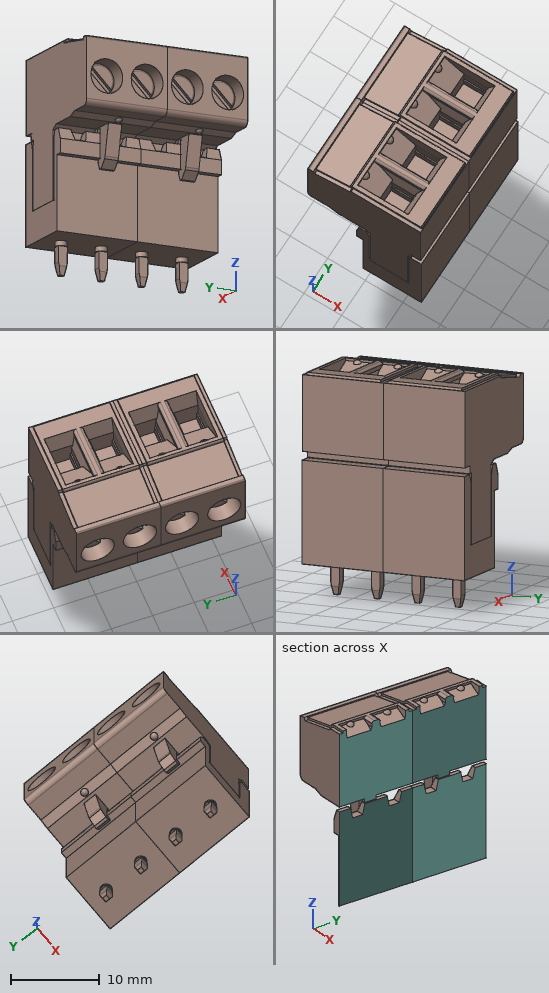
import cadquery as cq


total_length = 20.33
total_height = 26.0
module_count = 2
poles_per_module = 2
module_width = total_length / module_count
pole_pitch = module_width / poles_per_module

header_back_x = 15.13
header_front_x = 7.38
header_bottom_z = 3.95
header_top_z = 15.9
trough_floor_z = 7.75
trough_front_x = 8.15
trough_back_x = 13.47
trough_lead_in_z = 14.95
trough_lead_in = 0.25
ledge_front_x = 6.53
ledge_bottom_z = 12.85
ledge_bevel_z = 14.55
header_lip_front_x = 7.05

notch_top_width = 1.95
notch_bottom_width = 1.33
notch_depth = 1.3

collar_diameter = 1.4
collar_bottom_z = 3.35
pin_x = 11.35
pin_size_x = 1.0
pin_size_y = 1.1
pin_tip_size = 0.55
taper_start_x_faces = 1.01
taper_start_y_faces = 1.43

plug_back_x = 15.03
plug_shoulder_z = 25.71
plug_nose_top_z = 24.99
plug_underside_z = 16.9
nose_top_length = 0.75
ramp_start = (0.95, 24.65)
ramp_end = (5.62, 25.45)
plug_top_front_x = 5.77
nose_top_round = 0.18
nose_bottom_round = 0.7
underside_step_start_x = 2.95
underside_step_end_x = 4.08
underside_step_z = 16.48
stem_front_x = 8.35
stem_back_x = 13.29
stem_neck_back_x = 13.75
stem_neck_z = 16.0
stem_bevel_x = 7.55

panel_inset = 0.47
panel_ramp_start = (0.8, 24.88)
panel_ramp_end = (5.35, 25.65)
panel_round_middle = (5.4, 25.87)
panel_top_front_x = 5.6
panel_top_back_x = 14.8
panel_base_back_x = 14.9

rib_inset = 0.25

latch_width = 1.7
latch_offset_y = -0.78
latch_root_front_x = 4.47
latch_knee = (5.3, 12.8)
latch_jaw = (5.4, 12.5)
latch_tip_z = 11.57
latch_tip_front_x = 6.3
latch_tip_back_x = 6.65
hook_point = (7.1, 12.5)
hook_top_x = 6.86
latch_root_round = 0.25
web_top_front_x = 7.02
web_bottom_front_x = 7.3
latch_stud_diameter = 0.95
latch_stud_x = 3.61
latch_stud_z = 16.85

screw_hole_diameter = 4.0
screw_axis_z = 20.51
screw_face_depth = 1.77
screw_diameter = 3.8
screw_thickness = 1.55
screw_edge_round = 0.23
screw_slot_width = 0.62
screw_slot_depth = 0.4
screw_slot_angle = 45

pocket_front_x = 6.03
pocket_back_x = 12.75
shaft_front_x = 8.7
shaft_back_x = 11.85
funnel_depth = 1.6
funnel_front_drop = 0.29
pocket_outer_reach = 1.53
pocket_inner_reach = 2.3
divider_round_width = 0.36
divider_round_depth = 0.25
divider_straight_depth = 0.7
divider_taper_depth = 2.05
divider_round_middle = (0.2, 0.08)
shaft_width = 2.8
shaft_depth = 3.15
inner_shaft_width = 2.47
inner_shaft_depth = 4.15
pocket_stud_diameter = 1.4
pocket_stud_x = 5.88
pocket_stud_depth = 0.78


def extrude_y(points, width, center_y):
    """Prism with an outline in X and Z, centred on center_y."""
    return (
        cq.Workplane("XZ", origin=(0, center_y + width / 2, 0))
        .polyline(points)
        .close()
        .extrude(width)
    )


def block(x_range, y_range, z_range):
    """Box between the given limits."""
    (x0, x1), (y0, y1), (z0, z1) = x_range, y_range, z_range
    return cq.Workplane("XY").box(x1 - x0, y1 - y0, z1 - z0, centered=False).translate((x0, y0, z0))


def pole_sides(module_y):
    """Y of each pole of a module, with the direction from the pole to the module's middle."""
    return [(module_y - pole_pitch / 2, 1), (module_y + pole_pitch / 2, -1)]


def make_header_notch(pole_y):
    """Tapered cutter through the front wall of the header."""
    bottom_z = header_top_z - notch_depth
    return (
        cq.Workplane("YZ", origin=(ledge_front_x, pole_y, 0))
        .moveTo(-notch_top_width / 2, header_top_z)
        .lineTo(notch_top_width / 2, header_top_z)
        .lineTo(notch_bottom_width / 2, bottom_z)
        .lineTo(-notch_bottom_width / 2, bottom_z)
        .close()
        .extrude(trough_front_x - ledge_front_x)
    )


def pin_profile(plane, size, taper_start_z):
    """Pin outline on one upright plane, extruded well past the pin on both sides."""
    return (
        cq.Workplane(plane)
        .moveTo(-size / 2, collar_bottom_z)
        .lineTo(size / 2, collar_bottom_z)
        .lineTo(size / 2, taper_start_z)
        .lineTo(pin_tip_size / 2, 0)
        .lineTo(-pin_tip_size / 2, 0)
        .lineTo(-size / 2, taper_start_z)
        .close()
        .extrude(collar_diameter, both=True)
    )


def make_pin(pole_y):
    """Solder pin under the header: a round collar and a rectangular leg with a tapered tip."""
    leg = pin_profile("XZ", pin_size_x, taper_start_x_faces).intersect(
        pin_profile("YZ", pin_size_y, taper_start_y_faces)
    )
    collar = (
        cq.Workplane("XY", origin=(0, 0, collar_bottom_z))
        .circle(collar_diameter / 2)
        .extrude(header_bottom_z - collar_bottom_z)
    )
    return leg.union(collar).translate((pin_x, pole_y, 0))


def make_header(module_y):
    outline = [
        (header_front_x, header_bottom_z),
        (header_back_x, header_bottom_z),
        (header_back_x, header_top_z),
        (trough_back_x + trough_lead_in, header_top_z),
        (trough_back_x, trough_lead_in_z),
        (trough_back_x, trough_floor_z),
        (trough_front_x, trough_floor_z),
        (trough_front_x, trough_lead_in_z),
        (trough_front_x - trough_lead_in, header_top_z),
        (header_lip_front_x, header_top_z),
        (ledge_front_x, ledge_bevel_z),
        (ledge_front_x, ledge_bottom_z),
        (header_front_x, ledge_bottom_z),
    ]
    header = extrude_y(outline, module_width, module_y)
    for pole_y, _ in pole_sides(module_y):
        header = header.cut(make_header_notch(pole_y))
        header = header.union(make_pin(pole_y))
    return header


def make_plug_core(module_y):
    """Full-width plug body with the stem that fills the header's trough."""
    outline = [
        (0, plug_underside_z),
        (0, plug_nose_top_z),
        (nose_top_length, plug_nose_top_z),
        ramp_start,
        ramp_end,
        (plug_top_front_x, plug_shoulder_z),
        (plug_back_x, plug_shoulder_z),
        (plug_back_x, plug_underside_z),
        (stem_neck_back_x, plug_underside_z),
        (stem_neck_back_x, stem_neck_z),
        (stem_back_x, stem_neck_z),
        (stem_back_x, trough_floor_z),
        (stem_front_x, trough_floor_z),
        (stem_front_x, stem_neck_z),
        (stem_bevel_x, underside_step_z),
        (underside_step_end_x, underside_step_z),
        (underside_step_start_x, plug_underside_z),
    ]
    core = extrude_y(outline, module_width, module_y)
    for edge_z, radius in [(plug_nose_top_z, nose_top_round), (plug_underside_z, nose_bottom_round)]:
        nose_edge = cq.selectors.NearestToPointSelector((0, module_y, edge_z))
        core = core.edges(nose_edge).fillet(radius)
    return core


def make_panel(module_y):
    """Raised panel with a rounded step between its ramp and its flat top."""
    width = module_width - 2 * panel_inset
    return (
        cq.Workplane("XZ", origin=(0, module_y + width / 2, 0))
        .moveTo(*panel_ramp_start)
        .lineTo(*panel_ramp_end)
        .threePointArc(panel_round_middle, (panel_top_front_x, total_height))
        .lineTo(panel_top_back_x, total_height)
        .lineTo(panel_base_back_x, plug_shoulder_z)
        .lineTo(ramp_end[0], plug_underside_z)
        .lineTo(ramp_start[0], plug_underside_z)
        .close()
        .extrude(width)
    )


def make_stem_rib(module_y):
    """Rib that closes the gap between the stem and the trough's back wall."""
    outline = [
        (stem_back_x, trough_floor_z),
        (trough_back_x, trough_floor_z),
        (trough_back_x, trough_lead_in_z),
        (trough_back_x + trough_lead_in, header_top_z),
        (trough_back_x + trough_lead_in, stem_neck_z),
        (stem_back_x, stem_neck_z),
    ]
    return extrude_y(outline, module_width - 2 * rib_inset, module_y)


def make_latch(module_y):
    """Hooked latch, the web behind it and the stud in front of its root."""
    latch_y = module_y + latch_offset_y
    outline = [
        (latch_root_front_x, underside_step_z),
        latch_knee,
        latch_jaw,
        (latch_tip_front_x, latch_tip_z),
        (latch_tip_back_x, latch_tip_z),
        hook_point,
        (hook_top_x, ledge_bottom_z),
        (ledge_front_x, ledge_bottom_z),
        (ledge_front_x, underside_step_z - latch_root_round),
        (ledge_front_x + latch_root_round, underside_step_z),
    ]
    stud = cq.Workplane("XY").sphere(latch_stud_diameter / 2)
    stud = stud.translate((latch_stud_x, latch_y, latch_stud_z))
    web_outline = [
        (web_top_front_x, underside_step_z),
        (web_bottom_front_x, stem_neck_z),
        (stem_front_x, stem_neck_z),
        (stem_front_x, underside_step_z),
    ]
    web = extrude_y(web_outline, latch_width, latch_y)
    return extrude_y(outline, latch_width, latch_y).union(stud).union(web)


def make_screw_hole(pole_y):
    return (
        cq.Workplane("YZ", origin=(0, pole_y, screw_axis_z))
        .circle(screw_hole_diameter / 2)
        .extrude(screw_face_depth + screw_thickness)
    )


def make_screw(pole_y):
    """Screw head with a rounded front edge and a slanted slot, seated on the floor of its hole."""
    face = cq.Workplane("YZ", origin=(screw_face_depth, pole_y, screw_axis_z))
    head = face.circle(screw_diameter / 2).extrude(screw_thickness)
    head = head.faces("<X").edges().fillet(screw_edge_round)
    slot = (
        face.transformed(rotate=(0, 0, screw_slot_angle))
        .rect(2 * screw_diameter, screw_slot_width)
        .extrude(screw_slot_depth)
    )
    return head.cut(slot)


def make_wire_pocket(pole_y, inward):
    """Funnel-shaped cutter; inward is +1 or -1, toward the divider between the two poles."""
    funnel_z = total_height - funnel_depth
    along_x = [
        (pocket_front_x, total_height),
        (pocket_back_x, total_height),
        (shaft_back_x, funnel_z),
        (shaft_back_x, total_height - divider_taper_depth),
        (shaft_front_x, total_height - divider_taper_depth),
        (shaft_front_x, funnel_z),
        (pocket_front_x, total_height - funnel_front_drop),
    ]
    straight_reach = pocket_inner_reach - divider_round_width
    across_y = (
        cq.Workplane("YZ", origin=(0, pole_y, total_height))
        .moveTo(-inward * pocket_outer_reach, 0)
        .lineTo(inward * pocket_inner_reach, 0)
        .threePointArc(
            (inward * (pocket_inner_reach - divider_round_middle[0]), -divider_round_middle[1]),
            (inward * straight_reach, -divider_round_depth),
        )
        .lineTo(inward * straight_reach, -divider_straight_depth)
        .lineTo(inward * shaft_width / 2, -divider_taper_depth)
        .lineTo(-inward * shaft_width / 2, -divider_taper_depth)
        .lineTo(-inward * shaft_width / 2, -funnel_depth)
        .close()
        .extrude(header_back_x)
    )
    pocket = extrude_y(along_x, 2 * pole_pitch, pole_y).intersect(across_y)
    stud = (
        cq.Workplane("XY")
        .sphere(pocket_stud_diameter / 2)
        .translate((pocket_stud_x, pole_y, total_height - pocket_stud_depth))
    )
    pocket = pocket.cut(stud)
    for width, depth in [(shaft_width, shaft_depth), (inner_shaft_width, inner_shaft_depth)]:
        shaft = block(
            (shaft_front_x, shaft_back_x),
            (pole_y - width / 2, pole_y + width / 2),
            (total_height - depth, funnel_z),
        )
        pocket = pocket.union(shaft)
    return pocket


def make_plug(module_y):
    plug = make_plug_core(module_y)
    plug = plug.union(make_panel(module_y))
    plug = plug.union(make_stem_rib(module_y))
    plug = plug.union(make_latch(module_y))
    for pole_y, inward in pole_sides(module_y):
        plug = plug.cut(make_screw_hole(pole_y))
        plug = plug.cut(make_wire_pocket(pole_y, inward))
    return plug


plugs = []
headers = []
screws = []
for module_index in range(module_count):
    module_center_y = (module_index - (module_count - 1) / 2) * module_width
    plugs.append(make_plug(module_center_y).val())
    headers.append(make_header(module_center_y).val())
    for screw_y, _ in pole_sides(module_center_y):
        screws.append(make_screw(screw_y).val())

result = cq.Compound.makeCompound([*plugs, *headers, *screws])